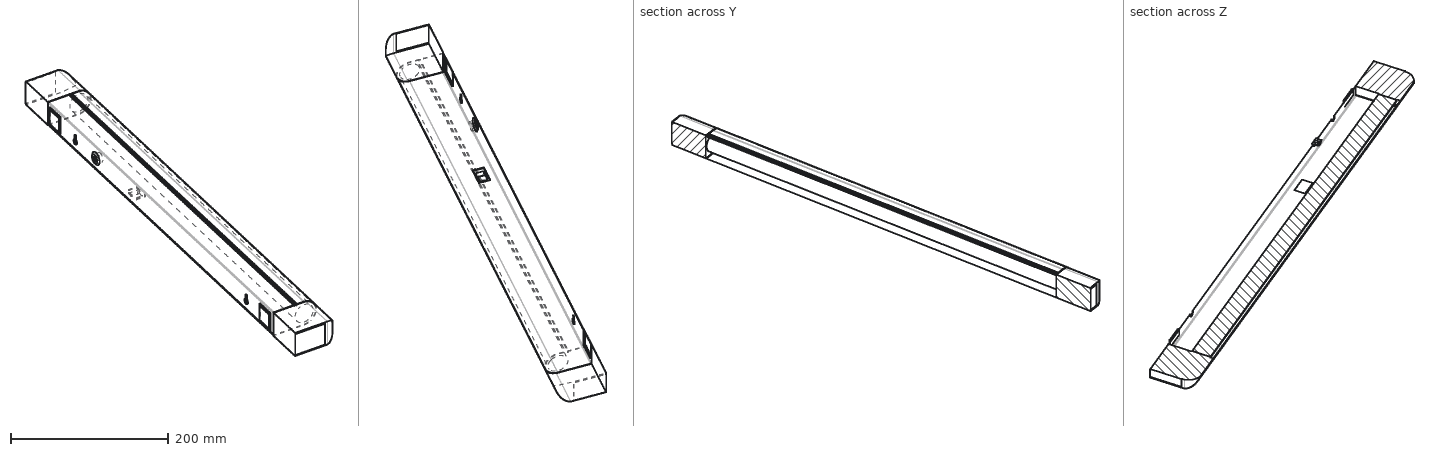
import cadquery as cq

total_length = 654.0
body_depth = 64.0
body_height = 36.0
mid_height = body_height / 2
front_relief = 2.02
switch_drop = 6.0

cap_length = 54.0
end_panel_thickness = 0.8
end_panel_margin = 1.5
end_panel_back_gap = 19.8
cap_corner_setback = 16.0
cap_corner_radius = 19.0
cap_block_length = cap_length - end_panel_thickness

housing_length = total_length - 2 * cap_length
housing_end = housing_length / 2
wall = 1.0
front_edge_radius = 1.3
groove_depth = 1.7
groove_floor_z = body_height - groove_depth
groove_front_y = 32.5
groove_back_y = 35.7
back_round_y = body_depth - mid_height

lamp_diameter = 27.0
lamp_y = back_round_y

pad_size = 26.0
pad_rim = 1.6
pad_base_thickness = 1.5
pad_x = housing_end - 18.5

keyhole_x = housing_end - 66.0
keyhole_diameter = 7.4
keyhole_slot_width = 4.0
keyhole_z = 13.5
keyhole_top_z = 23.8

socket_x = -156.3
socket_base_diameter = 18.0
socket_face_diameter = 13.0
socket_barrel_length = 6.0
socket_bore_diameter = 6.48
socket_bore_depth = 6.0
socket_pin_diameter = 2.0
socket_pin_length = 5.0

switch_x = -87.2
switch_y = 16.8
switch_flange_length = 22.5
switch_flange_width = 15.0
switch_flange_drop = 1.6
rocker_length = 15.0
rocker_width = 10.5
rocker_tip_inset = 3.8
rocker_pressed_drop = 3.6
rocker_middle_drop = 2.6


def block(x, y, z, length, depth, height):
    """Box centred on x and z that runs from y towards the back."""
    box = cq.Workplane("XY").box(length, depth, height, centered=(True, False, True))
    return box.translate((x, y, z))


def front_cylinder(x, y, z, diameter, depth):
    """Cylinder along Y that runs from y towards the back."""
    plane = cq.Workplane("XZ", origin=(x, y, z))
    return plane.circle(diameter / 2).extrude(-depth)


def housing_outline():
    """Box with rounded front edges, a half-round back and a V-shaped groove along the top."""
    return (
        cq.Workplane("YZ", origin=(-housing_end, 0, 0))
        .moveTo(front_edge_radius, 0)
        .lineTo(back_round_y, 0)
        .threePointArc((body_depth, mid_height), (back_round_y, body_height))
        .lineTo(groove_back_y, body_height)
        .lineTo(groove_front_y, groove_floor_z)
        .lineTo(groove_front_y, body_height)
        .lineTo(front_edge_radius, body_height)
        .radiusArc((0, body_height - front_edge_radius), -front_edge_radius)
        .lineTo(0, front_edge_radius)
        .radiusArc((front_edge_radius, 0), -front_edge_radius)
        .close()
    )


def keyhole(x):
    slot_radius = keyhole_slot_width / 2
    slot_end_z = keyhole_top_z - slot_radius
    slot_length = slot_end_z - keyhole_z
    entry = front_cylinder(x, 0, keyhole_z, keyhole_diameter, wall)
    slot = block(x, 0, keyhole_z + slot_length / 2, keyhole_slot_width, wall, slot_length)
    slot_end = front_cylinder(x, 0, slot_end_z, keyhole_slot_width, wall)
    return entry.union(slot).union(slot_end)


def pad(x):
    """Square pad with a slightly smaller raised face."""
    face_size = pad_size - 2 * pad_rim
    base = block(x, -pad_base_thickness, mid_height, pad_size, pad_base_thickness, pad_size)
    face = block(x, -front_relief, mid_height, face_size, front_relief, face_size)
    return base.union(face)


def socket_boss():
    """Boss on the front face that tapers towards the front."""
    return (
        cq.Workplane("XZ", origin=(socket_x, 0, mid_height))
        .circle(socket_base_diameter / 2)
        .workplane(offset=front_relief)
        .circle(socket_face_diameter / 2)
        .loft(combine=True)
    )


def socket_barrel():
    return front_cylinder(socket_x, 0, mid_height, socket_face_diameter, socket_barrel_length)


def socket_bore():
    return front_cylinder(
        socket_x, -front_relief, mid_height, socket_bore_diameter, socket_bore_depth
    )


def socket_pin():
    floor_y = socket_bore_depth - front_relief
    return front_cylinder(
        socket_x, floor_y - socket_pin_length, mid_height, socket_pin_diameter, socket_pin_length
    )


def rocker_switch():
    flange = cq.Workplane("XY").box(
        switch_flange_length, switch_flange_width, switch_flange_drop, centered=(True, True, False)
    ).translate((switch_x, switch_y, -switch_flange_drop))
    rocker = (
        cq.Workplane("XZ", origin=(switch_x, switch_y + rocker_width / 2, 0))
        .polyline([
            (-rocker_length / 2, 0),
            (-rocker_length / 2 + rocker_tip_inset, -switch_drop),
            (0, -rocker_middle_drop),
            (rocker_length / 2, -rocker_pressed_drop),
            (rocker_length / 2, 0),
        ])
        .close()
        .extrude(rocker_width)
    )
    return flange.union(rocker)


def make_housing():
    body = housing_outline().extrude(housing_length)
    cavity = housing_outline().offset2D(-wall).extrude(housing_length)
    body = body.cut(cavity)
    for side in (-1, 1):
        body = body.cut(keyhole(side * keyhole_x))
        body = body.union(pad(side * pad_x))
    body = body.union(socket_boss()).union(socket_barrel())
    body = body.cut(socket_bore())
    body = body.union(socket_pin())
    return body.union(rocker_switch())


def make_lamp():
    plane = cq.Workplane("YZ", origin=(-housing_end, lamp_y, mid_height))
    return plane.circle(lamp_diameter / 2).extrude(housing_length)


def make_cap(side):
    """End cap whose back edges are all rounded, with a thin raised panel on its end face."""
    inner_x = housing_end
    outer_x = housing_end + cap_block_length
    corner_y = body_depth - cap_corner_setback
    plan = (
        cq.Workplane("XY")
        .moveTo(inner_x, 0)
        .lineTo(outer_x, 0)
        .lineTo(outer_x, corner_y)
        .radiusArc((outer_x - cap_corner_setback, body_depth), -cap_corner_radius)
        .lineTo(inner_x, body_depth)
        .close()
        .extrude(body_height)
    )
    side_outline = (
        cq.Workplane("YZ", origin=(inner_x, 0, 0))
        .moveTo(0, 0)
        .lineTo(corner_y, 0)
        .radiusArc((body_depth, cap_corner_setback), -cap_corner_radius)
        .lineTo(body_depth, body_height - cap_corner_setback)
        .radiusArc((corner_y, body_height), -cap_corner_radius)
        .lineTo(0, body_height)
        .close()
        .extrude(cap_block_length)
    )
    cap = plan.intersect(side_outline)
    panel = block(
        outer_x + end_panel_thickness / 2,
        0,
        mid_height,
        end_panel_thickness,
        body_depth - end_panel_back_gap,
        body_height - 2 * end_panel_margin,
    )
    cap = cap.union(panel)
    return cap if side > 0 else cap.mirror("YZ")


housing = make_housing()
lamp = make_lamp()
caps = [make_cap(side) for side in (-1, 1)]

result = cq.Compound.makeCompound([
    housing.val(),
    lamp.val(),
    *[cap.val() for cap in caps],
])